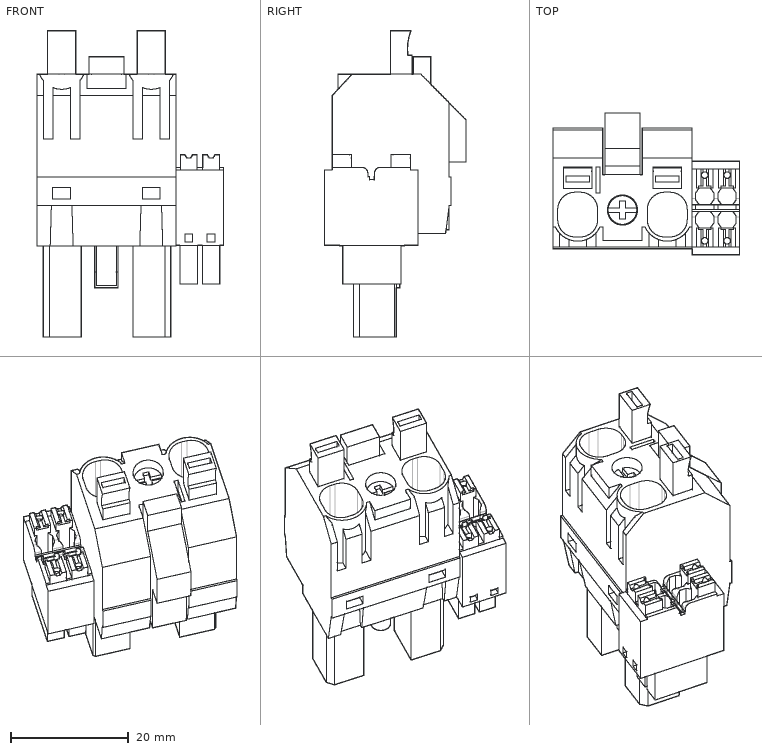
import cadquery as cq
import math


HOUSING_WIDTH = 23.7
HOUSING_DEPTH = 19.88
HOUSING_TOP = 29.26
MID_X = HOUSING_WIDTH / 2
POLE_PITCH = 15.24
POLE_XS = (MID_X - POLE_PITCH / 2, MID_X + POLE_PITCH / 2)
FRONT_CHAMFER_DEPTH = 3.37
FRONT_CHAMFER_HEIGHT = 3.61
BACK_CHAMFER = 4.8
BAND_BOTTOM = 6.9
BAND_TOP = 11.79
BAND_PROUD = 0.35
FRONT_TAPER = 1.23
BACK_TAPER = 0.6
FOOT_BACK = 12.32
BACK_FLOOR = 2.14

SLEEVE_RADIUS = 4.17
SLEEVE_Y = 5.14
SLEEVE_BOTTOM = 18.2
SLEEVE_SLOT_WIDTH = 1.6
SLEEVE_SLOT_SPACING = 4.6
SLEEVE_SLOT_DEPTH = 3.2
WIRE_WIDTH = 6.8
WIRE_LENGTH = 7.6
WIRE_Y = 5.5
WIRE_CORNER = 2.95
WIRE_DEPTH = 14.0

WINDOW_WIDTH = 3.05
WINDOW_BOTTOM = 8.05
WINDOW_HEIGHT = 1.93
WINDOW_DEPTH = 1.5
RELIEF_FLOOR_Y = 1.85
RELIEF_TOP_WIDTH = 3.5
RELIEF_BOTTOM_WIDTH = 3.9
FLANGE_PAD_WIDTH = 6.6
FLANGE_PAD_FRONT = 1.12

SIDE_SLOT_X = 7.39
SIDE_SLOT_WIDTH = 0.68
SIDE_SLOT_FRONT = 9.15
SIDE_SLOT_LENGTH = 4.42
SIDE_SLOT_DEPTH = 3.0

SHROUD_WIDTH = 6.49
SHROUD_SHIFT = 0.1
SHROUD_FRONT = 3.61
SHROUD_BACK = 10.9
SHROUD_BOTTOM = -15.45
SHROUD_FRONT_CHAMFER = 1.05
SHROUD_BACK_CHAMFER = 0.35
PEG_WIDTH = 4.0
PEG_FRONT = 8.4
PEG_BACK = 11.5
PEG_BOTTOM = -7.06
PEG_SLOPE_TOP = -4.35
PEG_SLOPE_RUN = 1.9

LEVER_WIDTH = 4.84
LEVER_FRONT = 9.9
LEVER_BACK = 13.6
LEVER_TOP = 36.66
LEVER_BOTTOM = 20.0
GRIP_BOTTOM = 32.5
GRIP_DEPTH = 0.72
GRIP_LIP = 0.2
LEVER_SLOT_WIDTH = 3.97
LEVER_SLOT_LENGTH = 1.04
LEVER_SLOT_Y = 11.57
LEVER_SLOT_DEPTH = 2.0

SCREW_Y = 6.27
SCREW_BORE_RADIUS = 2.56
SCREW_HEAD_RADIUS = 2.44
SCREW_HEAD_HEIGHT = 3.0
SCREW_HEAD_TOP = HOUSING_TOP - 2.15
SCREW_HEAD_SEAT = SCREW_HEAD_TOP - SCREW_HEAD_HEIGHT
SCREW_SHANK_RADIUS = 1.7
SCREW_BOTTOM = -6.65
CROSS_DEPTH = 0.9
CROSS_SLOT_WIDTH = 0.77
CROSS_ARM_WIDTH = 1.04
CROSS_ARM_LENGTH = 3.1

NOTCH_WIDTH = 6.66
NOTCH_FRONT = 12.3
LATCH_WIDTH = 5.97
LATCH_BOTTOM = 2.8
LATCH_LEDGE = 14.3
LATCH_STEM_FRONT = 13.76
LATCH_STEM_BACK = 16.76
LATCH_TOP = 32.25
LATCH_SLOPE_TOP = 27.5
LATCH_HOOK_BACK = 22.78
LATCH_HOOK_TOP = LATCH_SLOPE_TOP - (LATCH_HOOK_BACK - LATCH_STEM_BACK)

SIGNAL_WIDTH = 8.09
SIGNAL_FRONT = -1.35
SIGNAL_DEPTH = 15.94
SIGNAL_BOTTOM = 0.16
SIGNAL_RIM = 12.98
SIGNAL_TOP = 13.43
SIGNAL_PITCH = 3.81
SIGNAL_MID_X = HOUSING_WIDTH + SIGNAL_WIDTH / 2
SIGNAL_MID_Y = SIGNAL_FRONT + SIGNAL_DEPTH / 2
SIGNAL_XS = (SIGNAL_MID_X - SIGNAL_PITCH / 2, SIGNAL_MID_X + SIGNAL_PITCH / 2)
ROWS = (-1, 1)
VALLEY_WIDTH = 1.15
VALLEY_DEPTH = 1.6
VALLEY_ROUND = 1.0
KEY_GROOVE_LENGTH = 0.74
KEY_GROOVE_OFFSET = 0.12
KEY_GROOVE_DEPTH = 0.5
KEY_POCKET_WIDTH = 3.1
KEY_POCKET_DEPTH = 1.0
SIGNAL_WINDOW = 1.35
SIGNAL_WINDOW_BOTTOM = 0.75
SIGNAL_WINDOW_DEPTH = 1.0
SIGNAL_SHROUD_WIDTH = 3.0
SIGNAL_SHROUD_FRONT = 1.77
SIGNAL_SHROUD_BACK = 11.7
SIGNAL_SHROUD_BOTTOM = -6.45

SIGNAL_LEVER_WIDTH = 2.86
SIGNAL_LEVER_INNER = 3.37
SIGNAL_LEVER_OUTER = 6.655
SIGNAL_LEVER_TOP = 15.56
SIGNAL_LEVER_BOTTOM = 7.0
GROOVE_TOP_WIDTH = 1.28
GROOVE_FLOOR_WIDTH = 0.6
GROOVE_DEPTH = 0.55
TIP_WIDTH = 2.1
TIP_LENGTH = 0.33
PROBE_RADIUS = 0.55
PROBE_OFFSET = 5.59
PROBE_DEPTH = 1.0

OCTAGON_INNER = VALLEY_WIDTH / 2
OCTAGON_OUTER = SIGNAL_LEVER_INNER
OCTAGON_HALF_WIDTH = 1.55
OCTAGON_HALF_SIDE = 0.58
OCTAGON_HALF_END = 0.96
OCTAGON_DEPTH = 8.0


def box(x_min, x_max, y_min, y_max, z_min, z_max):
    """Block between the given limits."""
    size = (x_max - x_min, y_max - y_min, z_max - z_min)
    return cq.Workplane("XY").box(*size, centered=False).translate((x_min, y_min, z_min))


def box_at_x(x, width, y_min, y_max, z_min, z_max):
    """Block centred on x."""
    return box(x - width / 2, x + width / 2, y_min, y_max, z_min, z_max)


def cylinder(x, y, radius, z_min, z_max):
    """Upright cylinder."""
    return cq.Workplane("XY", origin=(x, y, z_min)).circle(radius).extrude(z_max - z_min)


def side_profile(points, x_min, width):
    """Closed outline of (y, z) points swept along +X."""
    return cq.Workplane("YZ", origin=(x_min, 0, 0)).polyline(points).close().extrude(width)


def housing_shell():
    outline = [
        (FRONT_TAPER, 0),
        (0, BAND_BOTTOM),
        (-BAND_PROUD, BAND_BOTTOM),
        (-BAND_PROUD, BAND_TOP),
        (0, BAND_TOP),
        (0, HOUSING_TOP - FRONT_CHAMFER_HEIGHT),
        (FRONT_CHAMFER_DEPTH, HOUSING_TOP),
        (HOUSING_DEPTH - BACK_CHAMFER, HOUSING_TOP),
        (HOUSING_DEPTH, HOUSING_TOP - BACK_CHAMFER),
        (HOUSING_DEPTH, BAND_TOP),
        (HOUSING_DEPTH + BAND_PROUD, BAND_TOP),
        (HOUSING_DEPTH + BAND_PROUD, BAND_BOTTOM),
        (HOUSING_DEPTH, BAND_BOTTOM),
        (HOUSING_DEPTH - BACK_TAPER, BACK_FLOOR),
        (FOOT_BACK, BACK_FLOOR),
        (FOOT_BACK, 0),
    ]
    shell = side_profile(outline, 0, HOUSING_WIDTH)
    pad = box_at_x(
        MID_X, FLANGE_PAD_WIDTH,
        FLANGE_PAD_FRONT, FRONT_CHAMFER_DEPTH,
        HOUSING_TOP - FRONT_CHAMFER_HEIGHT, HOUSING_TOP,
    )
    notch = box_at_x(
        MID_X, NOTCH_WIDTH,
        NOTCH_FRONT, HOUSING_DEPTH + BACK_CHAMFER,
        0, HOUSING_TOP,
    )
    return shell.union(pad).cut(notch)


def wire_sleeve(x):
    return cylinder(x, SLEEVE_Y, SLEEVE_RADIUS, SLEEVE_BOTTOM, HOUSING_TOP)


def sleeve_slots(x):
    """Two slots in the front wall that reach back to the sleeve."""
    slots = cq.Workplane("XY")
    for side in (-1, 1):
        slot_x = x + side * SLEEVE_SLOT_SPACING / 2
        slots = slots.add(box_at_x(
            slot_x, SLEEVE_SLOT_WIDTH,
            -BAND_PROUD, SLEEVE_SLOT_DEPTH,
            SLEEVE_BOTTOM, HOUSING_TOP,
        ))
    return slots.combine()


def wire_entry(x):
    return (
        cq.Workplane("XY", origin=(x, WIRE_Y, HOUSING_TOP - WIRE_DEPTH))
        .rect(WIRE_WIDTH, WIRE_LENGTH)
        .extrude(WIRE_DEPTH)
        .edges("|Z")
        .fillet(WIRE_CORNER)
    )


def front_window(x):
    return box_at_x(
        x, WINDOW_WIDTH,
        -BAND_PROUD, WINDOW_DEPTH - BAND_PROUD,
        WINDOW_BOTTOM, WINDOW_BOTTOM + WINDOW_HEIGHT,
    )


def front_relief(x):
    """Recess with an upright floor in the tapered lower front wall, wider at the bottom."""
    corners = [
        (x - RELIEF_BOTTOM_WIDTH / 2, 0),
        (x - RELIEF_TOP_WIDTH / 2, BAND_BOTTOM),
        (x + RELIEF_TOP_WIDTH / 2, BAND_BOTTOM),
        (x + RELIEF_BOTTOM_WIDTH / 2, 0),
    ]
    face = cq.Workplane("XZ", origin=(0, RELIEF_FLOOR_Y, 0)).polyline(corners).close()
    return face.extrude(RELIEF_FLOOR_Y)


def power_shroud(x, outer_side):
    """Contact shroud; outer_side is the X direction of its chamfered edges."""
    shroud = box_at_x(
        x + SHROUD_SHIFT, SHROUD_WIDTH,
        SHROUD_FRONT, SHROUD_BACK,
        SHROUD_BOTTOM, 0,
    )
    outer_face = "<X" if outer_side < 0 else ">X"
    shroud = shroud.faces(outer_face).edges("<Y").chamfer(SHROUD_FRONT_CHAMFER)
    return shroud.faces(outer_face).edges(">Y").chamfer(SHROUD_BACK_CHAMFER)


def guide_peg():
    outline = [
        (PEG_FRONT, 0),
        (PEG_FRONT, PEG_SLOPE_TOP),
        (PEG_FRONT + PEG_SLOPE_RUN, PEG_BOTTOM),
        (PEG_BACK, PEG_BOTTOM),
        (PEG_BACK, 0),
    ]
    return side_profile(outline, MID_X - PEG_WIDTH / 2, PEG_WIDTH)


def screw_bore():
    bore = cylinder(MID_X, SCREW_Y, SCREW_BORE_RADIUS, SCREW_HEAD_SEAT, HOUSING_TOP)
    return bore.union(cylinder(MID_X, SCREW_Y, SCREW_SHANK_RADIUS, 0, SCREW_HEAD_SEAT))


def side_slot():
    return box(
        SIDE_SLOT_X, SIDE_SLOT_X + SIDE_SLOT_WIDTH,
        SIDE_SLOT_FRONT, SIDE_SLOT_FRONT + SIDE_SLOT_LENGTH,
        HOUSING_TOP - SIDE_SLOT_DEPTH, HOUSING_TOP,
    )


def row_box(x, width, row, inner, outer, z_min, z_max):
    """Block in one signal row, between two distances from the middle of the section."""
    ends = sorted((SIGNAL_MID_Y + row * inner, SIGNAL_MID_Y + row * outer))
    return box_at_x(x, width, ends[0], ends[1], z_min, z_max)


def signal_block():
    """Signal body with low rims and a round-edged valley between its rows."""
    block = box_at_x(
        SIGNAL_MID_X, SIGNAL_WIDTH,
        SIGNAL_FRONT, SIGNAL_FRONT + SIGNAL_DEPTH,
        SIGNAL_BOTTOM, SIGNAL_RIM,
    )
    for row in ROWS:
        block = block.union(row_box(
            SIGNAL_MID_X, SIGNAL_WIDTH, row,
            0, SIGNAL_LEVER_OUTER, SIGNAL_RIM, SIGNAL_TOP,
        ))
    half = VALLEY_WIDTH / 2
    floor = SIGNAL_TOP - VALLEY_DEPTH
    round_start = SIGNAL_TOP - VALLEY_ROUND
    lip = half + VALLEY_ROUND
    arc_in = half + VALLEY_ROUND * (1 - math.sqrt(0.5))
    arc_up = SIGNAL_TOP - VALLEY_ROUND * (1 - math.sqrt(0.5))
    valley = (
        cq.Workplane("YZ", origin=(HOUSING_WIDTH, SIGNAL_MID_Y, 0))
        .moveTo(-half, floor)
        .lineTo(half, floor)
        .lineTo(half, round_start)
        .threePointArc((arc_in, arc_up), (lip, SIGNAL_TOP))
        .lineTo(-lip, SIGNAL_TOP)
        .threePointArc((-arc_in, arc_up), (-half, round_start))
        .close()
        .extrude(SIGNAL_WIDTH)
    )
    return block.cut(valley)


def key_recess(x, width, depth):
    """Recess of the given depth along the key groove in the valley floor."""
    y = SIGNAL_MID_Y + KEY_GROOVE_OFFSET
    floor = SIGNAL_TOP - VALLEY_DEPTH
    return box_at_x(
        x, width,
        y - KEY_GROOVE_LENGTH / 2, y + KEY_GROOVE_LENGTH / 2,
        floor - depth, floor,
    )


def signal_window(x):
    return box_at_x(
        x, SIGNAL_WINDOW,
        SIGNAL_FRONT, SIGNAL_FRONT + SIGNAL_WINDOW_DEPTH,
        SIGNAL_WINDOW_BOTTOM, SIGNAL_WINDOW_BOTTOM + SIGNAL_WINDOW,
    )


def signal_shroud(x):
    return box_at_x(
        x, SIGNAL_SHROUD_WIDTH,
        SIGNAL_SHROUD_FRONT, SIGNAL_SHROUD_BACK,
        SIGNAL_SHROUD_BOTTOM, SIGNAL_BOTTOM,
    )


def signal_wire_entry(x, row):
    middle = (OCTAGON_INNER + OCTAGON_OUTER) / 2
    half_length = (OCTAGON_OUTER - OCTAGON_INNER) / 2
    corners = [
        (-OCTAGON_HALF_END, -half_length),
        (OCTAGON_HALF_END, -half_length),
        (OCTAGON_HALF_WIDTH, -OCTAGON_HALF_SIDE),
        (OCTAGON_HALF_WIDTH, OCTAGON_HALF_SIDE),
        (OCTAGON_HALF_END, half_length),
        (-OCTAGON_HALF_END, half_length),
        (-OCTAGON_HALF_WIDTH, OCTAGON_HALF_SIDE),
        (-OCTAGON_HALF_WIDTH, -OCTAGON_HALF_SIDE),
    ]
    base = (x, SIGNAL_MID_Y + row * middle, SIGNAL_TOP - OCTAGON_DEPTH)
    return cq.Workplane("XY", origin=base).polyline(corners).close().extrude(OCTAGON_DEPTH)


def signal_lever_blank(x, row):
    """Plain lever block, which is also the shape of its seat in the housing."""
    return row_box(
        x, SIGNAL_LEVER_WIDTH, row,
        SIGNAL_LEVER_INNER, SIGNAL_LEVER_OUTER,
        SIGNAL_LEVER_BOTTOM, SIGNAL_LEVER_TOP,
    )


def signal_section():
    section = signal_block().cut(key_recess(SIGNAL_MID_X, SIGNAL_WIDTH, KEY_GROOVE_DEPTH))
    for x in SIGNAL_XS:
        section = section.union(signal_shroud(x))
        section = section.cut(key_recess(x, KEY_POCKET_WIDTH, KEY_POCKET_DEPTH))
        section = section.cut(signal_window(x))
        for row in ROWS:
            section = section.cut(signal_wire_entry(x, row)).cut(signal_lever_blank(x, row))
    return section


def signal_lever(x, row):
    """Lever with a V-sided groove, a blind probe hole and a lowered inner tip."""
    floor = SIGNAL_LEVER_TOP - GROOVE_DEPTH
    length = SIGNAL_LEVER_OUTER - SIGNAL_LEVER_INNER
    centre_y = SIGNAL_MID_Y + row * (SIGNAL_LEVER_INNER + SIGNAL_LEVER_OUTER) / 2
    section = [
        (x - GROOVE_FLOOR_WIDTH / 2, floor),
        (x + GROOVE_FLOOR_WIDTH / 2, floor),
        (x + GROOVE_TOP_WIDTH / 2, SIGNAL_LEVER_TOP),
        (x - GROOVE_TOP_WIDTH / 2, SIGNAL_LEVER_TOP),
    ]
    groove = (
        cq.Workplane("XZ", origin=(0, centre_y + length / 2, 0))
        .polyline(section)
        .close()
        .extrude(length)
    )
    tip = row_box(
        x, TIP_WIDTH, row,
        SIGNAL_LEVER_INNER, SIGNAL_LEVER_INNER + TIP_LENGTH,
        floor, SIGNAL_LEVER_TOP,
    )
    probe_y = SIGNAL_MID_Y + row * PROBE_OFFSET
    probe = cylinder(x, probe_y, PROBE_RADIUS, floor - PROBE_DEPTH, SIGNAL_LEVER_TOP)
    return signal_lever_blank(x, row).cut(groove).cut(tip).cut(probe)


def power_lever_blank(x):
    """Plain lever block, which is also the shape of its seat in the housing."""
    return box_at_x(x, LEVER_WIDTH, LEVER_FRONT, LEVER_BACK, LEVER_BOTTOM, LEVER_TOP)


def power_lever(x):
    """Lever with a curved finger grip at the back and a driver slot in its top."""
    grip_mid = (GRIP_BOTTOM + LEVER_TOP) / 2
    grip = (
        cq.Workplane("YZ", origin=(x - LEVER_WIDTH / 2, 0, 0))
        .moveTo(LEVER_BACK, GRIP_BOTTOM)
        .lineTo(LEVER_BACK - GRIP_DEPTH, GRIP_BOTTOM)
        .threePointArc(
            (LEVER_BACK - GRIP_DEPTH, grip_mid),
            (LEVER_BACK - GRIP_LIP, LEVER_TOP),
        )
        .lineTo(LEVER_BACK, LEVER_TOP)
        .close()
        .extrude(LEVER_WIDTH)
    )
    slot = box_at_x(
        x, LEVER_SLOT_WIDTH,
        LEVER_SLOT_Y - LEVER_SLOT_LENGTH / 2, LEVER_SLOT_Y + LEVER_SLOT_LENGTH / 2,
        LEVER_TOP - LEVER_SLOT_DEPTH, LEVER_TOP,
    )
    return power_lever_blank(x).cut(grip).cut(slot)


def flange_screw():
    head = cylinder(MID_X, SCREW_Y, SCREW_HEAD_RADIUS, SCREW_HEAD_SEAT, SCREW_HEAD_TOP)
    shank = cylinder(MID_X, SCREW_Y, SCREW_SHANK_RADIUS, SCREW_BOTTOM, SCREW_HEAD_SEAT)
    cross_floor = SCREW_HEAD_TOP - CROSS_DEPTH
    wide_slot = box_at_x(
        MID_X, 2 * SCREW_HEAD_RADIUS,
        SCREW_Y - CROSS_SLOT_WIDTH / 2, SCREW_Y + CROSS_SLOT_WIDTH / 2,
        cross_floor, SCREW_HEAD_TOP,
    )
    short_arm = box_at_x(
        MID_X, CROSS_ARM_WIDTH,
        SCREW_Y - CROSS_ARM_LENGTH / 2, SCREW_Y + CROSS_ARM_LENGTH / 2,
        cross_floor, SCREW_HEAD_TOP,
    )
    return head.union(shank).cut(wide_slot).cut(short_arm)


def latch():
    outline = [
        (NOTCH_FRONT, LATCH_BOTTOM),
        (NOTCH_FRONT, LATCH_LEDGE),
        (LATCH_STEM_FRONT, LATCH_LEDGE),
        (LATCH_STEM_FRONT, LATCH_TOP),
        (LATCH_STEM_BACK, LATCH_TOP),
        (LATCH_STEM_BACK, LATCH_SLOPE_TOP),
        (LATCH_HOOK_BACK, LATCH_HOOK_TOP),
        (LATCH_HOOK_BACK, LATCH_LEDGE),
        (HOUSING_DEPTH, LATCH_LEDGE),
        (HOUSING_DEPTH, LATCH_BOTTOM),
    ]
    return side_profile(outline, MID_X - LATCH_WIDTH / 2, LATCH_WIDTH)


def connector_housing():
    """Power housing and signal section as one moulding."""
    body = housing_shell()
    for x, outer_side in zip(POLE_XS, (-1, 1)):
        body = body.cut(sleeve_slots(x)).union(wire_sleeve(x))
        body = body.cut(wire_entry(x)).cut(power_lever_blank(x))
        body = body.cut(front_window(x)).cut(front_relief(x))
        body = body.union(power_shroud(x, outer_side))
    body = body.union(guide_peg()).cut(screw_bore()).cut(side_slot())
    return body.union(signal_section())


housing = connector_housing()
power_levers = [power_lever(x) for x in POLE_XS]
signal_levers = [signal_lever(x, row) for x in SIGNAL_XS for row in ROWS]
screw = flange_screw()
locking_latch = latch()

bodies = [housing, *power_levers, *signal_levers, screw, locking_latch]
result = cq.Compound.makeCompound([body.solids().val() for body in bodies])